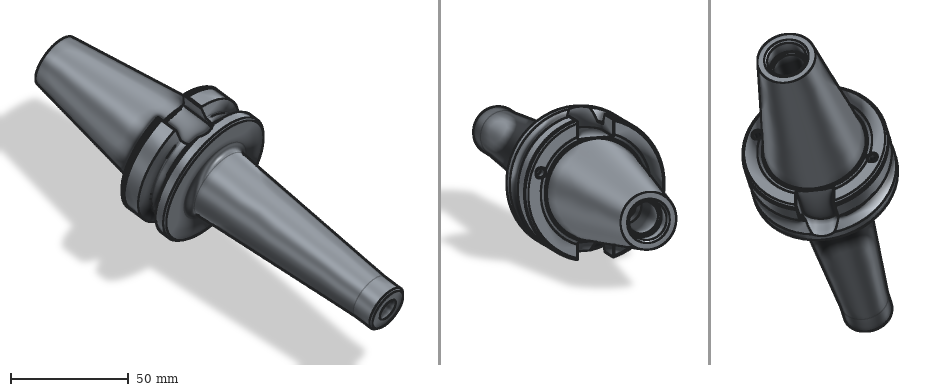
import cadquery as cq
import math

total_length = 192.4
gauge_x = 66.0
flange_face_x = 66.4
recess_floor_x = 66.5
flange_end_x = 92.4
nose_start_x = 182.2

taper_ratio = 7 / 24
gauge_diameter = 44.5
gauge_radius = gauge_diameter / 2
small_end_radius = gauge_radius - gauge_x * taper_ratio / 2

flange_diameter = 63.0
flange_radius = flange_diameter / 2
flange_chamfer = 1.0
face_recess_radius = 24.8

relief_floor_x = 67.1
relief_inner_radius = 22.0
relief_outer_radius = 22.9

groove_floor_radius = 26.4
groove_floor_fillet = 0.8
groove_floor_width = 4.2
groove_floor_start_x = 79.8
groove_flank_angle = math.radians(30)
groove_flank_length = (flange_radius - groove_floor_radius) * math.tan(groove_flank_angle)
groove_floor_end_x = groove_floor_start_x + groove_floor_width

band_start_x = 68.0
band_width = 1.2
band_depth = 0.2

neck_radius = 16.4
neck_fillet = 3.0
nose_radius = 10.5
nose_chamfer = 1.0

half_point_angle = math.radians(118 / 2)

bore_mouth_radius = 9.6
mouth_depth = 0.8
pilot_radius = 8.5
pilot_depth = 7.1
thread_mouth_radius = 7.9
thread_radius = 7.1
thread_depth = 28.9
through_radius = 5.0

slot_width = 15.8
slot_edge_chamfer = 0.5
slot_floor_z = 22.5
slot_end_x = 88.5

hole_radius = 2.0
hole_countersink = 0.5
hole_depth = 5.8
hole_circle_radius = 26.4
hole_angle = 20


def revolve_about_x(profile):
    """Full revolution of a closed half-profile about the X axis."""
    return profile.revolve(360, (0, 0, 0), (1, 0, 0))


def turn_about_x(shape, angle):
    """Rotate a shape about the X axis by an angle in degrees."""
    return shape.rotate((0, 0, 0), (1, 0, 0), angle)


def make_body():
    """Revolve the outer profile of taper, flange, neck and nose about X."""
    tangent = groove_floor_fillet * math.tan((math.pi / 2 - groove_flank_angle) / 2)
    flank_dx = tangent * math.sin(groove_flank_angle)
    flank_dr = tangent * math.cos(groove_flank_angle)
    profile = (
        cq.Workplane("XZ")
        .moveTo(0, 0)
        .lineTo(0, small_end_radius)
        .lineTo(gauge_x, gauge_radius)
        .lineTo(relief_floor_x, relief_inner_radius)
        .lineTo(relief_floor_x, relief_outer_radius)
        .lineTo(recess_floor_x, relief_outer_radius)
        .lineTo(recess_floor_x, face_recess_radius)
        .lineTo(flange_face_x, face_recess_radius)
        .lineTo(flange_face_x, flange_radius - flange_chamfer)
        .lineTo(flange_face_x + flange_chamfer, flange_radius)
        .lineTo(groove_floor_start_x - groove_flank_length, flange_radius)
        .lineTo(groove_floor_start_x - flank_dx, groove_floor_radius + flank_dr)
        .radiusArc((groove_floor_start_x + tangent, groove_floor_radius), -groove_floor_fillet)
        .lineTo(groove_floor_end_x - tangent, groove_floor_radius)
        .radiusArc((groove_floor_end_x + flank_dx, groove_floor_radius + flank_dr), -groove_floor_fillet)
        .lineTo(groove_floor_end_x + groove_flank_length, flange_radius)
        .lineTo(flange_end_x - flange_chamfer, flange_radius)
        .lineTo(flange_end_x, flange_radius - flange_chamfer)
        .lineTo(flange_end_x, neck_radius + neck_fillet)
        .radiusArc((flange_end_x + neck_fillet, neck_radius), -neck_fillet)
        .lineTo(nose_start_x, nose_radius)
        .lineTo(total_length - nose_chamfer, nose_radius)
        .lineTo(total_length, nose_radius - nose_chamfer)
        .lineTo(total_length, 0)
        .close()
    )
    return revolve_about_x(profile)


def make_band():
    """Ring that cuts the shallow V-shaped marking line around the flange rim."""
    profile = (
        cq.Workplane("XZ")
        .moveTo(band_start_x, flange_radius)
        .lineTo(band_start_x + band_width / 2, flange_radius - band_depth)
        .lineTo(band_start_x + band_width, flange_radius)
        .close()
    )
    return revolve_about_x(profile)


def make_bore():
    """Stepped bore with a countersunk mouth, open at both ends."""
    thread_mouth_depth = thread_mouth_radius - thread_radius
    drill_point_depth = (thread_radius - through_radius) / math.tan(half_point_angle)
    profile = (
        cq.Workplane("XZ")
        .moveTo(0, 0)
        .lineTo(0, bore_mouth_radius)
        .lineTo(mouth_depth, pilot_radius)
        .lineTo(pilot_depth, pilot_radius)
        .lineTo(pilot_depth, thread_mouth_radius)
        .lineTo(pilot_depth + thread_mouth_depth, thread_radius)
        .lineTo(thread_depth, thread_radius)
        .lineTo(thread_depth + drill_point_depth, through_radius)
        .lineTo(total_length, through_radius)
        .lineTo(total_length, 0)
        .close()
    )
    return revolve_about_x(profile)


def make_slot():
    """Round-ended drive slot on the +Z side, with chamfers at the flange face and along the rim."""
    half_width = slot_width / 2
    arc_start_x = slot_end_x - half_width
    slot = (
        cq.Workplane("XY", origin=(0, 0, slot_floor_z))
        .moveTo(flange_face_x, -half_width - slot_edge_chamfer)
        .lineTo(flange_face_x + slot_edge_chamfer, -half_width)
        .lineTo(arc_start_x, -half_width)
        .threePointArc((slot_end_x, 0), (arc_start_x, half_width))
        .lineTo(flange_face_x + slot_edge_chamfer, half_width)
        .lineTo(flange_face_x, half_width + slot_edge_chamfer)
        .close()
        .extrude(flange_radius)
    )

    flare_z = math.sqrt(flange_radius**2 - half_width**2) - slot_edge_chamfer
    flare_height = flange_radius - flare_z
    rim_flare = (
        cq.Workplane("YZ", origin=(flange_face_x, 0, 0))
        .moveTo(-half_width, flare_z)
        .lineTo(half_width, flare_z)
        .lineTo(half_width + flare_height, flange_radius)
        .lineTo(-half_width - flare_height, flange_radius)
        .close()
        .extrude(groove_floor_start_x - flange_face_x)
    )
    return slot.union(rim_flare)


def make_balance_hole():
    """Blind drilled hole with a conical bottom, running along +X from the flange face."""
    point_depth = hole_radius / math.tan(half_point_angle)
    profile = (
        cq.Workplane("XZ")
        .moveTo(flange_face_x, 0)
        .lineTo(flange_face_x, hole_radius + hole_countersink)
        .lineTo(flange_face_x + hole_countersink, hole_radius)
        .lineTo(flange_face_x + hole_depth, hole_radius)
        .lineTo(flange_face_x + hole_depth + point_depth, 0)
        .close()
    )
    hole = revolve_about_x(profile).translate((0, hole_circle_radius, 0))
    return turn_about_x(hole, hole_angle)


result = make_body().cut(make_bore()).cut(make_band())

for turn in (0, 180):
    result = result.cut(turn_about_x(make_slot(), turn))
    result = result.cut(turn_about_x(make_balance_hole(), turn))